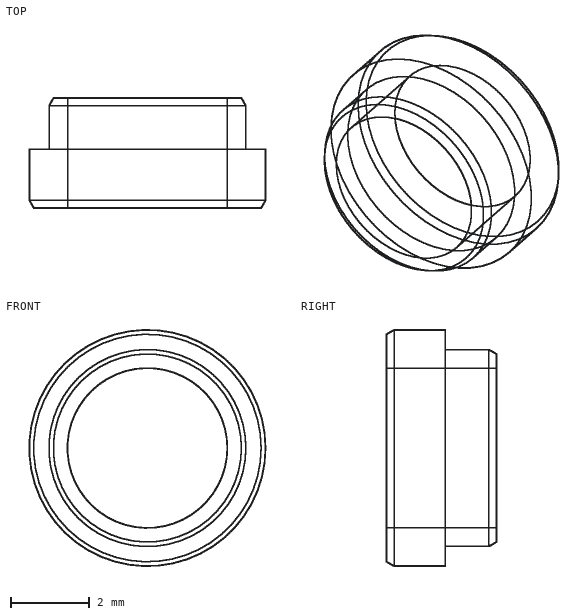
import cadquery as cq
import math

flange_diameter = 6.0
flange_length = 1.5
spigot_diameter = 5.0
total_length = 2.8
bore_diameter = 4.05

bevel_length = 0.2
bevel_angle = 30.0
bevel_depth = bevel_length * math.tan(math.radians(bevel_angle))

flange_radius = flange_diameter / 2
spigot_radius = spigot_diameter / 2
bore_radius = bore_diameter / 2

half_section = [
    (bore_radius, 0),
    (flange_radius - bevel_depth, 0),
    (flange_radius, bevel_length),
    (flange_radius, flange_length),
    (spigot_radius, flange_length),
    (spigot_radius, total_length - bevel_length),
    (spigot_radius - bevel_depth, total_length),
    (bore_radius, total_length),
]

result = (
    cq.Workplane("XY")
    .polyline(half_section)
    .close()
    .revolve(360, (0, 0, 0), (0, 1, 0))
)